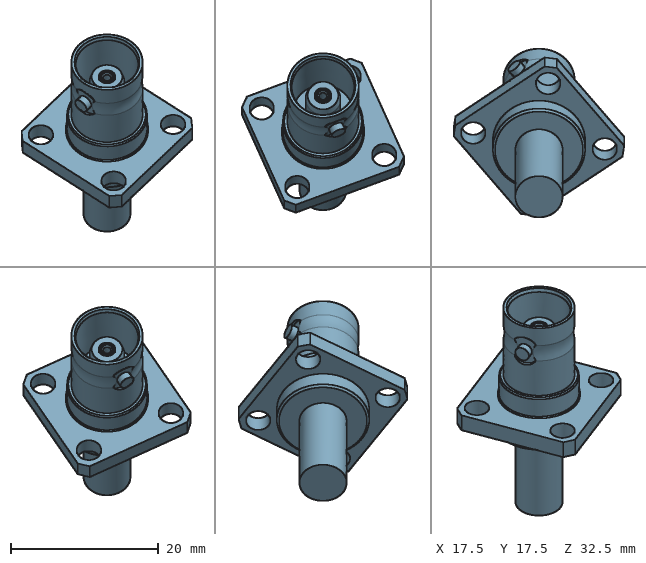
import cadquery as cq
overall_height = 32.5
rear_ring_bottom = 13.0
plate_bottom = 15.5
plate_top = 18.0
collar_top = 21.25

tube_radius = 3.2
rear_ring_radius = 6.25
rear_ring_chamfer = 0.3
plate_side = 17.5
plate_corner_chamfer = 1.2
mount_hole_spacing = 12.7
mount_hole_diameter = 3.3

collar_radius = 5.42
collar_top_chamfer = 0.2
collar_base_chamfer = 0.17

barrel_radius = 4.83
groove_depth = 0.135
groove_half_width = 1.28
groove_z = overall_height - 4.12

mouth_radius = 4.4
throat_radius = 4.22
bore_floor_radius = 4.05
mouth_depth = 0.5
bore_depth = 8.4

pin_radius = 1.0
pin_reach = 5.57
flat_offset = 4.565
flat_radius = 2.07
flat_rim_radius = 2.26

insulator_base_radius = 2.36
insulator_tip_radius = 2.07
insulator_taper_height = 1.0
insulator_tip_z = overall_height - 3.17
insulator_hole_radius = 1.13

contact_radius = 0.95
contact_mouth_radius = 0.76
contact_hole_radius = 0.53
contact_mouth_depth = 0.23
contact_hole_depth = 3.0


def cylinder(radius, bottom, top):
    return cq.Workplane("XY").workplane(offset=bottom).circle(radius).extrude(top - bottom)


def cone(bottom_radius, top_radius, bottom, top):
    profile = [(0, bottom), (bottom_radius, bottom), (top_radius, top), (0, top)]
    return cq.Workplane("XZ").polyline(profile).close().revolve(360, (0, 0), (0, 1))


def make_plate():
    plate = (
        cq.Workplane("XY")
        .workplane(offset=plate_bottom)
        .rect(plate_side, plate_side)
        .extrude(plate_top - plate_bottom)
        .edges("|Z")
        .chamfer(plate_corner_chamfer)
    )
    return (
        plate.faces(">Z")
        .workplane()
        .rect(mount_hole_spacing, mount_hole_spacing, forConstruction=True)
        .vertices()
        .hole(mount_hole_diameter)
    )


def make_rear():
    ring = cylinder(rear_ring_radius, rear_ring_bottom, plate_bottom)
    ring = ring.faces("<Z").edges().chamfer(rear_ring_chamfer)
    return cylinder(tube_radius, 0, rear_ring_bottom).union(ring)


def make_collar():
    collar = cylinder(collar_radius, plate_top, collar_top)
    collar = collar.faces(">Z").edges().chamfer(collar_top_chamfer)
    base = cone(
        collar_radius + collar_base_chamfer,
        collar_radius,
        plate_top,
        plate_top + collar_base_chamfer,
    )
    return collar.union(base)


def make_barrel():
    """Barrel with the shallow round groove turned into its outside."""
    groove_bottom = (barrel_radius, groove_z - groove_half_width)
    groove_middle = (barrel_radius - groove_depth, groove_z)
    groove_top = (barrel_radius, groove_z + groove_half_width)
    return (
        cq.Workplane("XZ")
        .moveTo(0, collar_top)
        .lineTo(barrel_radius, collar_top)
        .lineTo(*groove_bottom)
        .threePointArc(groove_middle, groove_top)
        .lineTo(barrel_radius, overall_height)
        .lineTo(0, overall_height)
        .close()
        .revolve(360, (0, 0), (0, 1))
    )


def make_bore():
    floor_z = overall_height - bore_depth
    throat_z = overall_height - mouth_depth
    taper = cone(bore_floor_radius, throat_radius, floor_z, throat_z)
    mouth = cone(throat_radius, mouth_radius, throat_z, overall_height)
    return taper.union(mouth)


def make_pin_flat():
    """Cutter for the -Y flat: a cone frustum widening outward to the barrel surface."""
    slope = (flat_rim_radius - flat_radius) / (barrel_radius - flat_offset)
    outer_radius = flat_radius + slope * (pin_reach - flat_offset)
    profile = [
        (0, -flat_offset),
        (flat_radius, -flat_offset),
        (outer_radius, -pin_reach),
        (0, -pin_reach),
    ]
    cutter = cq.Workplane("XY").polyline(profile).close().revolve(360, (0, 0), (0, 1))
    return cutter.translate((0, 0, groove_z))


def make_pin():
    """The -Y bayonet pin, rooted in the barrel wall."""
    root_offset = (bore_floor_radius + flat_offset) / 2
    return (
        cq.Workplane("XZ", origin=(0, -root_offset, groove_z))
        .circle(pin_radius)
        .extrude(pin_reach - root_offset)
    )


def make_insulator():
    floor_z = overall_height - bore_depth
    taper_z = insulator_tip_z - insulator_taper_height
    base = cylinder(insulator_base_radius, floor_z, taper_z)
    tip = cone(insulator_base_radius, insulator_tip_radius, taper_z, insulator_tip_z)
    return base.union(tip).cut(cylinder(insulator_hole_radius, floor_z, insulator_tip_z))


def make_contact():
    mouth_z = insulator_tip_z - contact_mouth_depth
    contact = cylinder(contact_radius, overall_height - bore_depth, insulator_tip_z)
    hole = cylinder(contact_hole_radius, insulator_tip_z - contact_hole_depth, mouth_z)
    mouth = cone(contact_hole_radius, contact_mouth_radius, mouth_z, insulator_tip_z)
    return contact.cut(hole).cut(mouth)


barrel = make_barrel().cut(make_bore())
for angle in (0, 180):
    axis = ((0, 0, 0), (0, 0, 1), angle)
    barrel = barrel.cut(make_pin_flat().rotate(*axis))
    barrel = barrel.union(make_pin().rotate(*axis))

result = make_rear().union(make_plate()).union(make_collar()).union(barrel)
result = result.union(make_insulator()).union(make_contact())